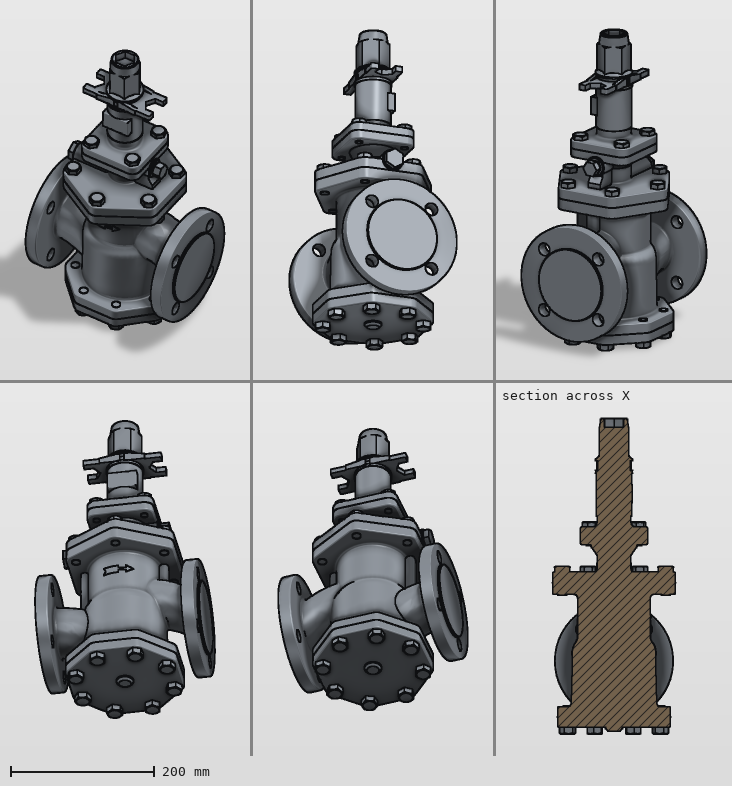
import cadquery as cq
import math

EMBED = 3.0

FACE_TO_FACE = 230.0
FLANGE_DIA = 165.0
RAISED_FACE_DIA = 104.0
RAISED_FACE_CHAMFER = 1.0
RAISED_FACE_HEIGHT = 3.0
FLANGE_THICKNESS = 17.8
FLANGE_FRONT_ROUND = 0.8
FLANGE_BACK_ROUND = 2.2
FLANGE_BOLT_CIRCLE = 125.0
FLANGE_HOLE_DIA = 18.0
FLANGE_HOLE_COUNT = 4
FLANGE_BACK_X = FACE_TO_FACE / 2 - RAISED_FACE_HEIGHT - FLANGE_THICKNESS

INLET_SECTIONS = [(-FLANGE_BACK_X, 0.0, 35.3), (-74.0, -3.0, 36.0), (-56.0, -9.5, 37.5), (-25.0, -22.0, 37.5)]
OUTLET_SECTIONS = [(FLANGE_BACK_X, 8.0, 36.0), (72.0, 23.7, 35.0), (50.0, 30.5, 35.0), (25.0, 32.0, 35.0)]
PIPE_FLARE_RADIUS = 4.0
OUTLET_ROOT_FILLET = 3.5

PART_BOTTOM = -101.5
BOTTOM_COVER_BOTTOM = -92.2
BOTTOM_SEAM = -78.0
BOTTOM_COVER_TOP = -63.1
BOTTOM_BOLT_RADIUS = 70.0
BOTTOM_BOLT_COUNT = 8
BOTTOM_CORNER_RADIUS = 14.0
BOTTOM_BOLT_FLATS = 20.0
DRAIN_DIA = 24.0
DRAIN_HEIGHT = 5.6
DRAIN_CHAMFER = 3.5

BODY_BASE_DIA = 120.0
BODY_LOWER_DIA = 117.0
BODY_UPPER_DIA = 102.0
BODY_FILLET = 4.7
SHOULDER_BOTTOM = 12.2
SHOULDER_BEND = 26.5
SHOULDER_TOP = 32.5
SHOULDER_BEND_RADIUS = 53.5
RIB_WIDTH = 17.0
RIB_NOSE_ROUND = 5.5
RIB_REACH = 61.8

TOP_COVER_BOTTOM = 92.5
TOP_SEAM = 108.8
TOP_COVER_TOP = 124.2
COVER_LENGTH_Y = 171.16
TOP_BOLT_RADIUS = 72.0
TOP_BOLT_COUNT = 6
TOP_CORNER_RADIUS = COVER_LENGTH_Y / 2 - TOP_BOLT_RADIUS
TOP_BOLT_FLATS = 19.0
TOP_BOLT_HEAD = 7.8
COVER_EDGE_ROUND = 2.0
SEAM_DEPTH = 0.3
SEAM_WIDTH = 0.4
STUD_DIA = 12.0
STUD_PROTRUSION = 1.0

NECK_DIA = 48.0
NECK_FILLET = 4.2
NECK_CONE_BOTTOM = 147.0
NECK_HEAD_DIA = 66.0
NECK_CONE_TOP = 156.3
NECK_CONE_TOP_DIA = 60.6
NECK_RIM_BOTTOM = 158.8
NECK_RIM_DIA = 64.0

SQUARE_BOTTOM = 161.7
SQUARE_SEAM = 174.5
SQUARE_TOP = 187.0
SQUARE_SIDE = 94.0
SQUARE_CORNER_RADIUS = 13.2
SQUARE_BOLT_FLATS = 19.0
SQUARE_BOLT_HEAD = 6.4
SQUARE_EDGE_ROUND = 2.5
SQUARE_STUD_DIA = 10.0
SQUARE_BOLT_PITCH = SQUARE_SIDE - 2 * SQUARE_CORNER_RADIUS

COLUMN_DIA = 50.0
COLUMN_FOOT_DIA = 48.0
COLUMN_FOOT_TOP = 201.5
COLUMN_FOOT_FILLET = 6.0
COLLAR_DIA = 52.0
COLLAR_BOTTOM = 261.0
COLLAR_TOP = 280.9
CAP_HEX_FLATS = 41.2
CAP_HEX_CORNER_DIA = 48.0
CAP_BOTTOM_CONE_HEIGHT = 4.5
CAP_CONE_BOTTOM = 322.8
CAP_CONE_DIA = 42.0
CAP_TOP = 337.5
CAP_TOP_DIA = 38.0
CAP_SHOULDER_DROP = 2.0
CAP_EDGE_CHAMFER = 1.5
SOCKET_FLATS = 26.0
SOCKET_DEPTH = 12.0
PLATE_WIDTH = 41.2
PLATE_BOTTOM = 220.1
PLATE_TOP = 245.8
PLATE_INNER_Y = 10.8
PLATE_OUTER_Y = 25.4
PLATE_EDGE_ROUND = 1.2

HANDLE_BOTTOM = 265.3
HANDLE_THICKNESS = 8.0
HANDLE_LENGTH = 110.0
HANDLE_WIDTH = 46.0
HANDLE_NOTCH_HALF_WIDTH = 12.5
HANDLE_NOTCH_X = 42.0
HANDLE_NOTCH_APEX_X = 34.5
HANDLE_RIB_TOP = 278.3
HANDLE_RIB_END_X = 32.0
HANDLE_RIB_GAP = 6.0
HANDLE_RIB_INNER_Y = 17.7
HANDLE_RIB_OUTER_Y = 24.3
HANDLE_HUB_DIA = 46.0
HANDLE_EDGE_ROUND = 1.5

LEFT_PORT_DIA = 30.0
LEFT_PORT_FILLET = 4.0
LEFT_PORT_END_X = -77.6
LEFT_PORT_AXIS_Z = 124.2
LEFT_PLUG_FLATS = 24.4
LEFT_PLUG_END_X = -85.5

RIGHT_PORT_DIA = 28.0
RIGHT_PORT_END_X = 49.6
RIGHT_PORT_AXIS_Z = 155.3
RIGHT_PLUG_FLATS = 19.0
RIGHT_PLUG_END_X = 63.3
RIGHT_WASHER_DIA = 18.0
RIGHT_WASHER_END_X = 51.7
PORT_END_CHAMFER = 1.5
WEB_WIDTH = 20.0
WEB_TOP_X = 45.0
WEB_FOOT_HEIGHT = 7.0
WEB_BOTTOM_X = 51.5

ARROW_RELIEF = 0.8
ARROW_AXIS_Z = 62.3
ARROW_HALF_LENGTH = 21.0
ARROW_TAIL_HALF_HEIGHT = 5.6
ARROW_SHAFT_HALF_HEIGHT = 1.8
ARROW_SHAFT_END_X = 11.0
ARROW_TAIL_NOTCH = 2.7


def cylinder(dia, bottom, top):
    return cq.Workplane("XY").workplane(offset=bottom).circle(dia / 2).extrude(top - bottom)


def x_cylinder(dia, start, end, z):
    return cq.Workplane("YZ", origin=(start, 0, z)).circle(dia / 2).extrude(end - start)


def hexagon(flats, start_angle):
    """Corner points of a regular hexagon; the first corner lies at start_angle degrees."""
    radius = flats / math.sqrt(3)
    angles = [math.radians(start_angle + 60 * i) for i in range(6)]
    return [(radius * math.cos(a), radius * math.sin(a)) for a in angles]


def hex_bar(flats, bottom, top, start_angle=0.0):
    plane = cq.Workplane("XY").workplane(offset=bottom)
    return plane.polyline(hexagon(flats, start_angle)).close().extrude(top - bottom)


def circle_points(radius, count, start_angle):
    angles = [math.radians(start_angle + 360 * i / count) for i in range(count)]
    return [(radius * math.cos(a), radius * math.sin(a)) for a in angles]


def bolt_head(flats, seat, end, start_angle):
    """Hexagonal head whose free end is turned to a chamfered circle."""
    height = abs(end - seat)
    corner = flats / math.sqrt(3)
    edge_drop = corner - flats / 2
    profile = [
        (0, 0),
        (corner, 0),
        (corner, height - edge_drop),
        (flats / 2 - edge_drop / 2, height),
        (0, height),
    ]
    turned = cq.Workplane("XZ").polyline(profile).close().revolve(360, (0, 0, 0), (0, 1, 0))
    head = hex_bar(flats, 0, height, start_angle).intersect(turned)
    if end < seat:
        head = head.mirror("XY")
    return head.translate((0, 0, seat))


def x_plug(flats, start, end, z, start_angle):
    """Hexagonal plug head along X."""
    plane = cq.Workplane("YZ", origin=(start, 0, z))
    return plane.polyline(hexagon(flats, start_angle)).close().extrude(end - start)


def split_plate(bolt_points, corner_radius, bottom, seam, top, edge_round):
    """Two stacked plates, their outline rounded around the bolts, with a fine groove at the joint."""
    def outline(z, radius, height):
        plane = cq.Workplane("XY").workplane(offset=z)
        return plane.polyline(bolt_points).close().offset2D(radius).extrude(height)

    plate = outline(bottom, corner_radius, top - bottom)
    plate = plate.faces("<Z or >Z").edges().fillet(edge_round)
    groove_bottom = seam - SEAM_WIDTH / 2
    ring = outline(groove_bottom, corner_radius + EMBED, SEAM_WIDTH)
    core = outline(groove_bottom, corner_radius - SEAM_DEPTH, SEAM_WIDTH)
    return plate.cut(ring.cut(core))


def pipe_flange(sections):
    """Drilled round flange with raised face and its curved pipe."""
    side = math.copysign(1, sections[0][0])
    disc = x_cylinder(FLANGE_DIA, side * FLANGE_BACK_X, side * (FLANGE_BACK_X + FLANGE_THICKNESS), 0)
    back = "<X" if side > 0 else ">X"
    front = ">X" if side > 0 else "<X"
    disc = disc.faces(back).edges().fillet(FLANGE_BACK_ROUND)
    disc = disc.faces(front).edges().fillet(FLANGE_FRONT_ROUND)
    face_start = side * (FLANGE_BACK_X + FLANGE_THICKNESS - EMBED)
    disc = disc.union(x_cylinder(RAISED_FACE_DIA, face_start, side * FACE_TO_FACE / 2, 0))
    disc = disc.faces(front).edges().chamfer(RAISED_FACE_CHAMFER)
    holes = (
        cq.Workplane("YZ", origin=(-FACE_TO_FACE, 0, 0))
        .pushPoints(circle_points(FLANGE_BOLT_CIRCLE / 2, FLANGE_HOLE_COUNT, 45))
        .circle(FLANGE_HOLE_DIA / 2)
        .extrude(2 * FACE_TO_FACE)
    )
    wires = [
        cq.Wire.makeCircle(radius, cq.Vector(x, 0, z), cq.Vector(1, 0, 0))
        for x, z, radius in sections
    ]
    pipe = cq.Workplane(cq.Solid.makeLoft(wires))
    root = cq.selectors.BoxSelector(
        (side * FLANGE_BACK_X - 0.1, -FLANGE_DIA / 4, -FLANGE_DIA / 4),
        (side * FLANGE_BACK_X + 0.1, FLANGE_DIA / 4, FLANGE_DIA / 4),
    )
    return disc.cut(holes).union(pipe).edges(root).fillet(PIPE_FLARE_RADIUS)


def body():
    """Turned body: wide lower part, curved shoulder, slimmer upper part."""
    base_r = BODY_BASE_DIA / 2
    lower_r = BODY_LOWER_DIA / 2
    upper_r = BODY_UPPER_DIA / 2
    bottom = BOTTOM_COVER_TOP
    top = TOP_COVER_BOTTOM
    diagonal = 1 - math.sqrt(0.5)
    half = (
        cq.Workplane("XZ")
        .moveTo(0, bottom - EMBED)
        .lineTo(base_r + BODY_FILLET, bottom - EMBED)
        .lineTo(base_r + BODY_FILLET, bottom)
        .threePointArc(
            (base_r + BODY_FILLET * diagonal, bottom + BODY_FILLET * diagonal),
            (base_r, bottom + BODY_FILLET),
        )
        .lineTo(lower_r, SHOULDER_BOTTOM)
        .tangentArcPoint((SHOULDER_BEND_RADIUS, SHOULDER_BEND), relative=False)
        .tangentArcPoint((upper_r, SHOULDER_TOP), relative=False)
        .lineTo(upper_r, top - BODY_FILLET)
        .threePointArc(
            (upper_r + BODY_FILLET * diagonal, top - BODY_FILLET * diagonal),
            (upper_r + BODY_FILLET, top),
        )
        .lineTo(upper_r + BODY_FILLET, top + EMBED)
        .lineTo(0, top + EMBED)
        .close()
    )
    return half.revolve(360, (0, 0, 0), (0, 1, 0))


def body_with_outlet():
    """Body and outlet pipe, blended by a fillet where they meet."""
    joined = body().union(pipe_flange(OUTLET_SECTIONS))
    body_radius = BODY_BASE_DIA / 2
    junction = cq.selectors.BoxSelector(
        (body_radius / 3, -body_radius, BOTTOM_COVER_TOP / 2),
        (body_radius + EMBED, body_radius, TOP_COVER_BOTTOM - BODY_FILLET),
        boundingbox=True,
    )
    return joined.edges(junction).fillet(OUTLET_ROOT_FILLET)


def body_ribs():
    """Rib with rounded corners on each side, from the pipe axis up to the top cover."""
    ribs = cq.Workplane("XY").box(
        2 * RIB_REACH, RIB_WIDTH, TOP_COVER_BOTTOM + EMBED, centered=(True, True, False)
    )
    return ribs.edges("|Z").fillet(RIB_NOSE_ROUND)


def flow_arrow():
    mid = ARROW_AXIS_Z
    upper = [
        (0, mid + ARROW_TAIL_HALF_HEIGHT),
        (0, mid + ARROW_SHAFT_HALF_HEIGHT),
        (ARROW_SHAFT_END_X, mid + ARROW_SHAFT_HALF_HEIGHT),
        (ARROW_SHAFT_END_X, mid + ARROW_TAIL_HALF_HEIGHT),
    ]
    lower = [(x, 2 * mid - z) for x, z in reversed(upper)]
    tail_lower = (-ARROW_HALF_LENGTH, mid - ARROW_TAIL_HALF_HEIGHT)
    tail_notch = (-ARROW_HALF_LENGTH + ARROW_TAIL_NOTCH, mid)
    tail_upper = (-ARROW_HALF_LENGTH, mid + ARROW_TAIL_HALF_HEIGHT)
    outline = upper + [(ARROW_HALF_LENGTH, mid)] + lower + [tail_lower, tail_notch, tail_upper]
    prism = cq.Workplane("XZ").polyline(outline).close().extrude(BODY_UPPER_DIA)
    skin = cylinder(BODY_UPPER_DIA + 2 * ARROW_RELIEF, BOTTOM_COVER_TOP, TOP_COVER_BOTTOM)
    return prism.intersect(skin)


def bottom_cover():
    points = circle_points(BOTTOM_BOLT_RADIUS, BOTTOM_BOLT_COUNT, 180 / BOTTOM_BOLT_COUNT)
    cover = split_plate(
        points,
        BOTTOM_CORNER_RADIUS,
        BOTTOM_COVER_BOTTOM,
        BOTTOM_SEAM,
        BOTTOM_COVER_TOP,
        COVER_EDGE_ROUND,
    )
    for x, y in points:
        flat_outward = math.degrees(math.atan2(y, x)) + 30
        head = bolt_head(BOTTOM_BOLT_FLATS, BOTTOM_COVER_BOTTOM, PART_BOTTOM, flat_outward)
        stud = cylinder(STUD_DIA, BOTTOM_COVER_TOP - EMBED, BOTTOM_COVER_TOP + STUD_PROTRUSION)
        cover = cover.union(head.union(stud).translate((x, y, 0)))
    drain = cylinder(DRAIN_DIA, BOTTOM_COVER_BOTTOM - DRAIN_HEIGHT, BOTTOM_COVER_BOTTOM + EMBED)
    return cover.union(drain.faces("<Z").chamfer(DRAIN_CHAMFER))


def top_cover():
    points = circle_points(TOP_BOLT_RADIUS, TOP_BOLT_COUNT, 30)
    cover = split_plate(
        points,
        TOP_CORNER_RADIUS,
        TOP_COVER_BOTTOM,
        TOP_SEAM,
        TOP_COVER_TOP,
        COVER_EDGE_ROUND,
    )
    head = bolt_head(TOP_BOLT_FLATS, TOP_COVER_TOP, TOP_COVER_TOP + TOP_BOLT_HEAD, 30)
    stud = cylinder(STUD_DIA, TOP_COVER_BOTTOM - STUD_PROTRUSION, TOP_COVER_BOTTOM + EMBED)
    for x, y in points:
        cover = cover.union(head.union(stud).translate((x, y, 0)))
    return cover


def neck():
    """Round neck with a fillet at its foot and a conical head under the square flange."""
    r = NECK_DIA / 2
    foot = TOP_COVER_TOP
    diagonal = 1 - math.sqrt(0.5)
    half = (
        cq.Workplane("XZ")
        .moveTo(0, foot - EMBED)
        .lineTo(r + NECK_FILLET, foot - EMBED)
        .lineTo(r + NECK_FILLET, foot)
        .threePointArc(
            (r + NECK_FILLET * diagonal, foot + NECK_FILLET * diagonal),
            (r, foot + NECK_FILLET),
        )
        .lineTo(r, NECK_CONE_BOTTOM)
        .lineTo(NECK_CONE_TOP_DIA / 2, NECK_CONE_TOP)
        .lineTo(NECK_RIM_DIA / 2, NECK_RIM_BOTTOM)
        .lineTo(NECK_HEAD_DIA / 2, SQUARE_BOTTOM)
        .lineTo(NECK_HEAD_DIA / 2, SQUARE_BOTTOM + EMBED)
        .lineTo(0, SQUARE_BOTTOM + EMBED)
        .close()
    )
    return half.revolve(360, (0, 0, 0), (0, 1, 0))


def square_flange():
    h = SQUARE_BOLT_PITCH / 2
    points = [(h, h), (-h, h), (-h, -h), (h, -h)]
    flange = split_plate(
        points,
        SQUARE_CORNER_RADIUS,
        SQUARE_BOTTOM,
        SQUARE_SEAM,
        SQUARE_TOP,
        SQUARE_EDGE_ROUND,
    )
    head = bolt_head(SQUARE_BOLT_FLATS, SQUARE_TOP, SQUARE_TOP + SQUARE_BOLT_HEAD, 45)
    stud = cylinder(SQUARE_STUD_DIA, SQUARE_BOTTOM - STUD_PROTRUSION, SQUARE_BOTTOM + EMBED)
    for x, y in points:
        flange = flange.union(head.union(stud).translate((x, y, 0)))
    return flange


def column():
    """Turned column with a filleted foot, up to the underside of the collar."""
    r = COLUMN_DIA / 2
    foot_r = COLUMN_FOOT_DIA / 2
    fillet = COLUMN_FOOT_FILLET
    diagonal = 1 - math.sqrt(0.5)
    half = (
        cq.Workplane("XZ")
        .moveTo(0, SQUARE_TOP - EMBED)
        .lineTo(foot_r + fillet, SQUARE_TOP - EMBED)
        .lineTo(foot_r + fillet, SQUARE_TOP)
        .threePointArc(
            (foot_r + fillet * diagonal, SQUARE_TOP + fillet * diagonal),
            (foot_r, SQUARE_TOP + fillet),
        )
        .lineTo(foot_r, COLUMN_FOOT_TOP)
        .lineTo(r, COLUMN_FOOT_TOP)
        .lineTo(r, COLLAR_BOTTOM)
        .lineTo(0, COLLAR_BOTTOM)
        .close()
    )
    return half.revolve(360, (0, 0, 0), (0, 1, 0))


def name_plate():
    """Raised rectangular pad on the -Y side of the column."""
    pad = cq.Workplane("XY").box(
        PLATE_WIDTH,
        PLATE_OUTER_Y - PLATE_INNER_Y,
        PLATE_TOP - PLATE_BOTTOM,
        centered=(True, True, False),
    )
    pad = pad.faces("<Y").edges().fillet(PLATE_EDGE_ROUND)
    return pad.translate((0, -(PLATE_INNER_Y + PLATE_OUTER_Y) / 2, PLATE_BOTTOM))


def collar():
    """Rings above and below the handle, joined by the slimmer handle hub."""
    lower = cylinder(COLLAR_DIA, COLLAR_BOTTOM, HANDLE_BOTTOM)
    hub = cylinder(HANDLE_HUB_DIA, HANDLE_BOTTOM, HANDLE_RIB_TOP)
    upper = cylinder(COLLAR_DIA, HANDLE_RIB_TOP, COLLAR_TOP)
    return lower.union(hub).union(upper)


def handle():
    """Flat bar with V-notched ends and a wedge rib to either side of the middle of each long edge."""
    end = HANDLE_LENGTH / 2
    bar = cq.Workplane("XY").box(
        HANDLE_LENGTH, HANDLE_WIDTH, HANDLE_THICKNESS, centered=(True, True, False)
    )
    bar = bar.edges("|Z").fillet(HANDLE_EDGE_ROUND)
    notch = (
        cq.Workplane("XY")
        .moveTo(end + EMBED, HANDLE_NOTCH_HALF_WIDTH)
        .lineTo(HANDLE_NOTCH_X, HANDLE_NOTCH_HALF_WIDTH)
        .lineTo(HANDLE_NOTCH_APEX_X, 0)
        .lineTo(HANDLE_NOTCH_X, -HANDLE_NOTCH_HALF_WIDTH)
        .lineTo(end + EMBED, -HANDLE_NOTCH_HALF_WIDTH)
        .close()
        .extrude(HANDLE_THICKNESS)
    )
    bar = bar.cut(notch).cut(notch.mirror("YZ"))
    wedge = (
        cq.Workplane("XZ", origin=(0, -HANDLE_RIB_INNER_Y, 0))
        .moveTo(HANDLE_RIB_GAP / 2, 0)
        .lineTo(HANDLE_RIB_END_X, 0)
        .lineTo(HANDLE_RIB_END_X, HANDLE_THICKNESS)
        .lineTo(HANDLE_RIB_GAP / 2, HANDLE_RIB_TOP - HANDLE_BOTTOM)
        .close()
        .extrude(HANDLE_RIB_OUTER_Y - HANDLE_RIB_INNER_Y)
    )
    pair = wedge.union(wedge.mirror("YZ"))
    bar = bar.union(pair).union(pair.mirror("XZ"))
    return bar.translate((0, 0, HANDLE_BOTTOM))


def cap():
    """Hexagonal cap with turned chamfers, a conical top and a hexagonal socket."""
    corner_r = CAP_HEX_CORNER_DIA / 2
    cone_r = CAP_CONE_DIA / 2
    top_r = CAP_TOP_DIA / 2
    profile = [
        (0, COLLAR_TOP - EMBED),
        (corner_r, COLLAR_TOP - EMBED),
        (corner_r, CAP_CONE_BOTTOM - CAP_SHOULDER_DROP),
        (cone_r, CAP_CONE_BOTTOM),
        (top_r, CAP_TOP - CAP_EDGE_CHAMFER),
        (top_r - CAP_EDGE_CHAMFER, CAP_TOP),
        (0, CAP_TOP),
    ]
    turned = cq.Workplane("XZ").polyline(profile).close().revolve(360, (0, 0, 0), (0, 1, 0))
    hex_part = hex_bar(CAP_HEX_FLATS, COLLAR_TOP - EMBED, CAP_TOP).intersect(turned)
    root_cone = cq.Workplane(
        cq.Solid.makeCone(COLLAR_DIA / 2, cone_r, CAP_BOTTOM_CONE_HEIGHT, cq.Vector(0, 0, COLLAR_TOP))
    )
    socket = hex_bar(SOCKET_FLATS, CAP_TOP - SOCKET_DEPTH, CAP_TOP)
    return hex_part.union(root_cone).cut(socket)


def left_port():
    """Side port half sunk in the top cover, filleted onto the neck and closed by a hexagonal plug."""
    barrel = x_cylinder(LEFT_PORT_DIA, LEFT_PORT_END_X, 0, LEFT_PORT_AXIS_Z)
    barrel = barrel.faces("<X").chamfer(PORT_END_CHAMFER)
    core = cylinder(NECK_DIA, TOP_COVER_BOTTOM + EMBED, NECK_CONE_BOTTOM)
    junction = cq.selectors.BoxSelector(
        (-NECK_DIA / 2 - 1, -LEFT_PORT_DIA, TOP_COVER_BOTTOM + 2 * EMBED),
        (-1, LEFT_PORT_DIA, NECK_CONE_BOTTOM - 1),
        boundingbox=True,
    )
    barrel = barrel.union(core).edges(junction).fillet(LEFT_PORT_FILLET)
    plug = x_plug(LEFT_PLUG_FLATS, LEFT_PLUG_END_X, LEFT_PORT_END_X + EMBED, LEFT_PORT_AXIS_Z, 90)
    return barrel.union(plug)


def right_port():
    """Short side port on a web, closed by a hexagonal plug."""
    barrel = x_cylinder(RIGHT_PORT_DIA, 0, RIGHT_PORT_END_X, RIGHT_PORT_AXIS_Z)
    barrel = barrel.faces(">X").chamfer(PORT_END_CHAMFER)
    washer = x_cylinder(
        RIGHT_WASHER_DIA, RIGHT_PORT_END_X - EMBED, RIGHT_WASHER_END_X, RIGHT_PORT_AXIS_Z
    )
    plug = x_plug(RIGHT_PLUG_FLATS, RIGHT_WASHER_END_X, RIGHT_PLUG_END_X, RIGHT_PORT_AXIS_Z, 0)
    web = (
        cq.Workplane("XZ")
        .moveTo(0, TOP_COVER_TOP - EMBED)
        .lineTo(WEB_BOTTOM_X, TOP_COVER_TOP - EMBED)
        .lineTo(WEB_BOTTOM_X, TOP_COVER_TOP + WEB_FOOT_HEIGHT)
        .lineTo(WEB_TOP_X, RIGHT_PORT_AXIS_Z - RIGHT_PORT_DIA / 2)
        .lineTo(WEB_TOP_X, RIGHT_PORT_AXIS_Z)
        .lineTo(0, RIGHT_PORT_AXIS_Z)
        .close()
        .extrude(WEB_WIDTH / 2, both=True)
    )
    return barrel.union(washer).union(plug).union(web)


def join(parts):
    total = parts[0]
    for part in parts[1:]:
        total = total.union(part)
    return total


lower_half = join([body_with_outlet(), pipe_flange(INLET_SECTIONS), body_ribs(), flow_arrow(), bottom_cover()])
cover_half = join([top_cover(), neck(), left_port(), right_port()])
adjuster = join([square_flange(), column(), name_plate(), collar(), handle(), cap()])
result = join([lower_half, cover_half, adjuster])